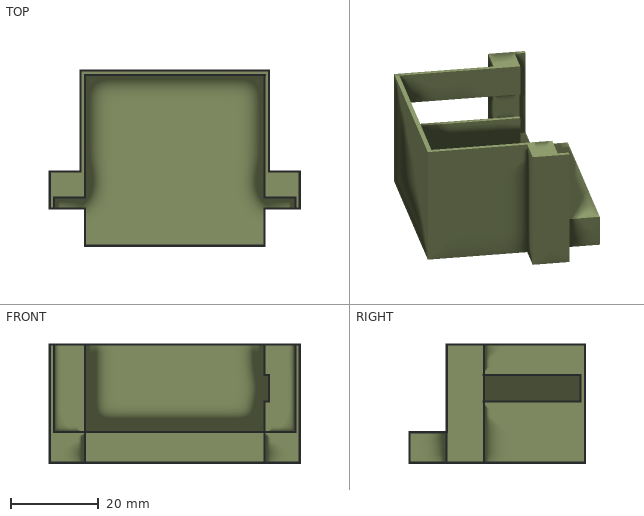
import cadquery as cq

width = 57.0
depth = 40.0
height = 27.0

wall = 1.0
floor = 7.0
inner_width = 41.0
outer_width = inner_width + 2 * wall

ear_front = 8.5
ear_back = 17.0
recess_depth = 2.5
recess_back = ear_front + recess_depth

slot_bottom = 14.0
slot_height = 6.0


def block(x_min, x_max, y_min, y_max, z_min, z_max):
    """Box between the given limits."""
    size = (x_max - x_min, y_max - y_min, z_max - z_min)
    return cq.Workplane("XY").box(*size, centered=False).translate((x_min, y_min, z_min))


def centered_block(x_size, y_min, y_max, z_min, z_max):
    """Box symmetric about the YZ plane."""
    return block(-x_size / 2, x_size / 2, y_min, y_max, z_min, z_max)


tongue = centered_block(inner_width, 0, ear_back, 0, floor)
tray = centered_block(outer_width, ear_front, depth, 0, height)
ears = centered_block(width, ear_front, ear_back, 0, height)
body = tongue.union(tray).union(ears)

cavity = centered_block(inner_width, 0, depth - wall, floor, height)

recess = centered_block(width - 2 * wall, ear_front, recess_back, floor, height)

slot = block(
    inner_width / 2, outer_width / 2,
    recess_back, depth - wall,
    slot_bottom, slot_bottom + slot_height,
)

result = body.cut(cavity).cut(recess).cut(slot)